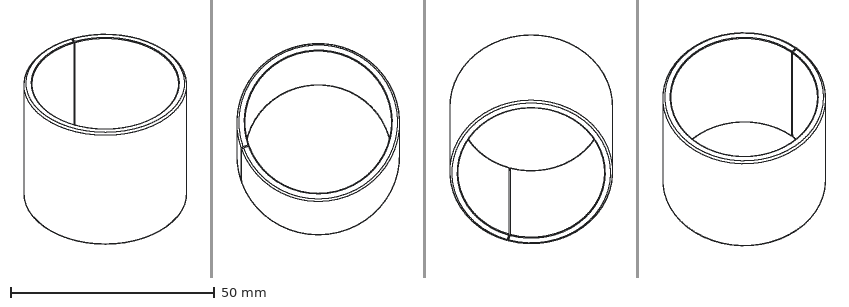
import cadquery as cq

outer_diameter = 40.0
wall = 2.0
length = 35.0
outer_chamfer = 0.5
inner_chamfer = 0.2
slit_angle = 1.0

outer_radius = outer_diameter / 2
bore_radius = outer_radius - wall
half_length = length / 2


def wall_section():
    """Wall cross-section on the -X side, with all four corners chamfered."""
    return (
        cq.Workplane("XZ")
        .moveTo(-bore_radius - inner_chamfer, -half_length)
        .lineTo(-outer_radius + outer_chamfer, -half_length)
        .lineTo(-outer_radius, -half_length + outer_chamfer)
        .lineTo(-outer_radius, half_length - outer_chamfer)
        .lineTo(-outer_radius + outer_chamfer, half_length)
        .lineTo(-bore_radius - inner_chamfer, half_length)
        .lineTo(-bore_radius, half_length - inner_chamfer)
        .lineTo(-bore_radius, -half_length + inner_chamfer)
        .close()
    )


result = wall_section().revolve(360 - slit_angle, (0, 0, 0), (0, 1, 0))